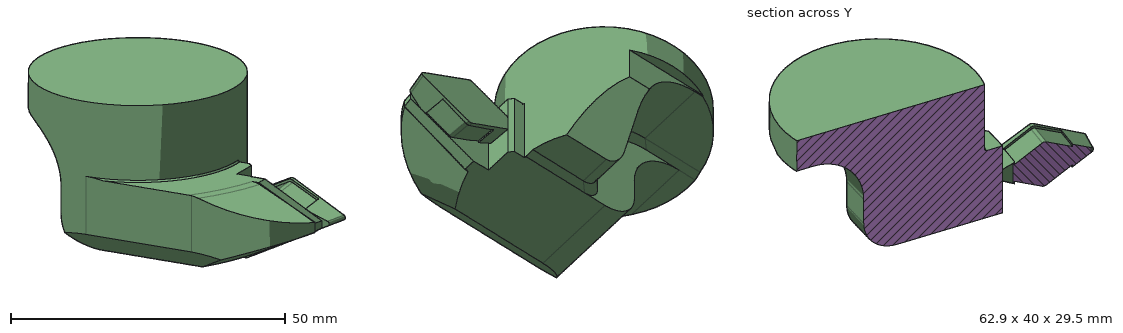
import cadquery as cq
import math

disc_radius = 20.0
body_bottom = -29.5
arm_top = -14.65
tool_axis_z = -21.45
overall_length = 62.85
reach = overall_length - disc_radius

overhang = 25.15
front_zone_y = 1.95
rear_zone_y = 3.65
flank_x = -5.6
front_rim_z = -6.8
front_upper_radius = 10.5
front_lower_radius = 6.9
rear_flank_x = 4.8
rear_top_z = -6.3
rear_bottom = -28.9
rear_upper_radius = 11.5
rear_lower_radius = 3.0
rear_back_y = 18.05
rear_rim_z = -5.9
rear_slope_top_z = -13.4
rear_slope_foot_y = 10.3

bottom_chamfer = 4.0
neck_fillet = 0.3
arm_back_y = 1.6
arm_arc_start_x = 21.9
arm_arc_mid = (34.5, -15.35)
arm_end = (40.75, -7.5)
arm_lip = (41.0, -5.4)
pocket_x = 23.15
pocket_corner_y = 0.75
pocket_chamfer_x = 22.25
seat_inner_y = -4.85

cone_center = (-7.8, 2.75)
cone_top_radius = 37.7
cone_slope = 0.49
relief_round = 0.75
flat_relief_x = 29.05
flat_relief_slope = 0.51

insert_center_x = 31.75
insert_half_height = 6.05
insert_half_length = 11.9
insert_nose_radius = 0.53
insert_corner_radius = 0.95
insert_taper = 5.0
insert_back_y = 0.75
insert_tip_y = 0.1
insert_end_base_y = -4.2
insert_seat_start_x = 27.35
insert_seat_start_y = -4.95
insert_seat_end_x = 38.65
insert_seat_end_y = -5.35
recess_top_y = -0.3
recess_depth = 0.45
recess_start_x = 25.65
recess_end_x = 37.6


def flank_profile(y, x, top_z, bottom, upper_radius, lower_radius):
    """XZ outline of the material kept to the right of the undercut."""
    bend = math.sqrt(0.5)
    upper_center = (x - upper_radius, top_z - upper_radius)
    lower_center = (x + lower_radius, bottom + lower_radius)
    return (
        cq.Workplane("XZ", origin=(0, y, 0))
        .moveTo(-overhang, 0)
        .lineTo(-overhang, top_z)
        .lineTo(upper_center[0], top_z)
        .threePointArc(
            (upper_center[0] + upper_radius * bend, upper_center[1] + upper_radius * bend),
            (x, upper_center[1]),
        )
        .lineTo(x, lower_center[1])
        .threePointArc(
            (lower_center[0] - lower_radius * bend, lower_center[1] - lower_radius * bend),
            (lower_center[0], bottom),
        )
        .lineTo(reach, bottom)
        .lineTo(reach, 0)
        .close()
    )


def make_front_zone():
    """Material in front of the step, kept by the front undercut."""
    outline = flank_profile(
        front_zone_y, flank_x, front_rim_z, body_bottom, front_upper_radius, front_lower_radius
    )
    return outline.extrude(front_zone_y + overhang)


def make_column():
    """Disc with its undercut flank, stepped back towards the rear by a sloped band."""
    radii = (rear_upper_radius, rear_lower_radius)
    band_width = rear_zone_y - front_zone_y
    band_foot = flank_profile(
        front_zone_y, rear_flank_x - band_width, front_rim_z, body_bottom, *radii
    )
    rear_shape = (rear_flank_x, rear_top_z, rear_bottom, *radii)
    band_end = flank_profile(rear_zone_y, *rear_shape)
    band = cq.Workplane(cq.Solid.makeLoft([band_foot.val(), band_end.val()], True))
    rear = flank_profile(overhang, *rear_shape).extrude(overhang - rear_zone_y)
    disc = cq.Workplane("XY").circle(disc_radius).extrude(body_bottom)
    back_cut = (
        cq.Workplane("YZ", origin=(-overhang, 0, 0))
        .polyline([
            (overhang, rear_rim_z),
            (rear_back_y, rear_rim_z),
            (rear_back_y, rear_slope_top_z),
            (rear_slope_foot_y, rear_bottom),
            (rear_slope_foot_y, body_bottom),
            (overhang, body_bottom),
        ])
        .close()
        .extrude(2 * overhang)
    )
    return disc.intersect(make_front_zone().union(band).union(rear)).cut(back_cut)


def arm_plan(z):
    """Plan outline of the arm, with the open insert pocket at its end."""
    return (
        cq.Workplane("XY", origin=(0, 0, z))
        .moveTo(0, -disc_radius)
        .lineTo(arm_arc_start_x, -disc_radius)
        .threePointArc(arm_arc_mid, arm_end)
        .lineTo(*arm_lip)
        .lineTo(pocket_x, seat_inner_y)
        .lineTo(pocket_x, pocket_corner_y)
        .lineTo(pocket_chamfer_x, arm_back_y)
        .lineTo(0, arm_back_y)
        .close()
    )


def make_nose_envelope():
    """Double cone in front of the flat relief, both centred on the nose height."""
    nose_radius = cone_top_radius + (arm_top - tool_axis_z) / cone_slope
    bottom_radius = nose_radius - (tool_axis_z - body_bottom) / cone_slope
    round_radius = cone_top_radius + relief_round / math.hypot(1, cone_slope)
    round_end = (round_radius, arm_top - (round_radius - cone_top_radius) * cone_slope)
    cone = (
        cq.Workplane("XZ", origin=(cone_center[0], cone_center[1], 0))
        .polyline([
            (0, arm_top),
            (cone_top_radius - relief_round, arm_top),
        ])
        .tangentArcPoint(round_end, relative=False)
        .lineTo(nose_radius, tool_axis_z)
        .lineTo(bottom_radius, body_bottom)
        .lineTo(0, body_bottom)
        .close()
        .revolve(360, (0, 0, 0), (0, 1, 0))
    )
    front_half = (
        cq.Workplane("XY", origin=(0, 0, body_bottom))
        .rect(2 * reach, 2 * (arm_end[1] + 2 * disc_radius))
        .extrude(-body_bottom)
        .translate((0, -2 * disc_radius, 0))
    )
    ridge_x = flat_relief_x + (arm_top - tool_axis_z) / flat_relief_slope
    flat = (
        cq.Workplane("XZ", origin=(0, arm_end[1], 0))
        .polyline([
            (0, arm_top),
            (flat_relief_x, arm_top),
            (ridge_x, tool_axis_z),
            (ridge_x - (tool_axis_z - body_bottom) / flat_relief_slope, body_bottom),
            (0, body_bottom),
        ])
        .close()
        .extrude(arm_end[1] - arm_back_y)
    )
    return cone.intersect(front_half).union(flat)


def make_arm():
    arm = arm_plan(body_bottom).extrude(arm_top - body_bottom)
    return arm.intersect(make_nose_envelope())


def make_neck_ring():
    """Small slope where the round neck meets the top of the arm."""
    ring = cq.Workplane(
        cq.Solid.makeCone(
            disc_radius + neck_fillet, disc_radius, neck_fillet, pnt=cq.Vector(0, 0, arm_top)
        )
    )
    return ring.intersect(arm_plan(arm_top).extrude(neck_fillet))


def make_holder():
    chamfer_cut = (
        cq.Workplane("YZ", origin=(-overhang, 0, 0))
        .polyline([
            (-disc_radius, body_bottom),
            (-disc_radius + bottom_chamfer, body_bottom),
            (-disc_radius, body_bottom + bottom_chamfer),
        ])
        .close()
        .extrude(overhang + reach)
    )
    arm = make_arm().intersect(make_front_zone())
    return make_column().union(arm).union(make_neck_ring()).cut(chamfer_cut)


def rhombus(shrink):
    """Tapered rhombic prism, reduced by the given distance on every side."""
    slant = math.hypot(insert_half_height, insert_half_length)
    height = insert_half_height - shrink * slant / insert_half_length
    length = insert_half_length - shrink * slant / insert_half_height
    prism = (
        cq.Workplane("XZ", origin=(insert_center_x, insert_back_y, tool_axis_z))
        .polyline([(-length, 0), (0, height), (length, 0), (0, -height)])
        .close()
        .extrude(insert_back_y - arm_lip[1], taper=insert_taper)
    )
    return prism.edges(">X").fillet(insert_nose_radius).edges(">Z or <Z").fillet(insert_corner_radius)


def make_insert():
    """Rhombic cutting insert with relieved sides, standing against the pocket wall."""
    depth = 2 * insert_half_height
    side = (
        cq.Workplane("XY", origin=(0, 0, tool_axis_z - insert_half_height))
        .polyline([
            (pocket_x, insert_back_y),
            (reach + insert_nose_radius, insert_tip_y),
            (reach, insert_end_base_y),
            (insert_seat_end_x, insert_seat_end_y),
            (insert_seat_start_x, insert_seat_start_y),
            (pocket_x, insert_end_base_y),
        ])
        .close()
        .extrude(depth)
    )
    recess = (
        cq.Workplane("XY")
        .box(
            recess_end_x - recess_start_x,
            recess_top_y - arm_lip[1],
            depth,
            centered=(False, False, True),
        )
        .translate((recess_start_x, arm_lip[1], tool_axis_z))
        .cut(rhombus(recess_depth))
    )
    return rhombus(0).intersect(side).cut(recess)


holder = make_holder()
insert = make_insert().cut(holder)
result = cq.Compound.makeCompound([holder.val(), insert.val()])